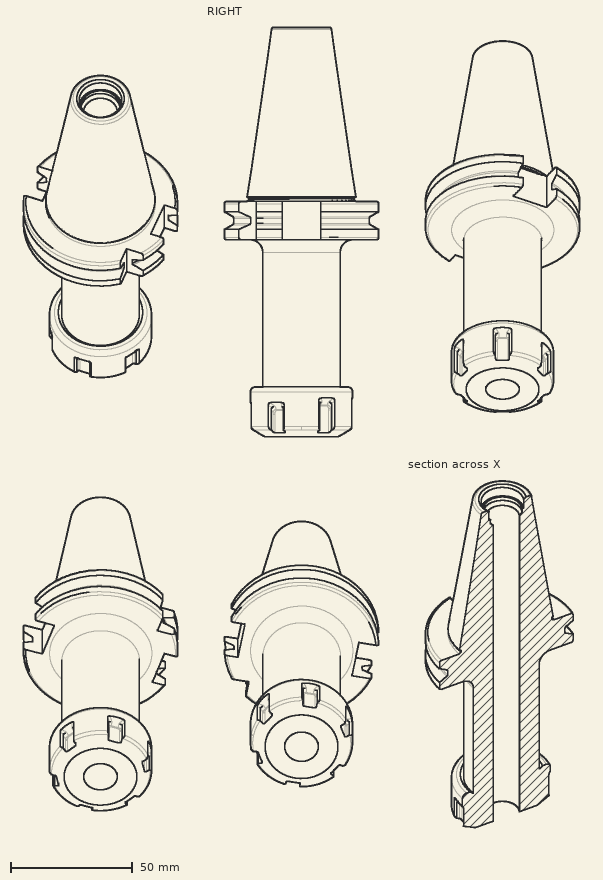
import cadquery as cq
import math

total_length = 168.4
gauge_height = 100.0
flange_top = 96.8
flange_thickness = 15.8
flange_bottom = flange_top - flange_thickness
nut_top = 20.5

taper_per_side = 7 / 48
gauge_radius = 22.2
taper_bottom = 98.7
tip_edge_fillet = 1.0

undercut_radius = 21.7
undercut_top = 98.2
undercut_fillet = 0.8

flange_diameter = 63.5
flange_radius = flange_diameter / 2
flange_edge_fillet = 1.0
groove_radius = 28.0
groove_mid_height = 88.9
groove_floor_width = 2.9
groove_floor_fillet = 0.7
groove_flank_angle = 30.0

drive_slot_width = 15.8
drive_slot_left_x = -22.5
drive_slot_right_x = 25.1
notch_corner = 18.5

tube_radius = 16.0
tube_fillet = 5.0

nut_radius = 21.0
nut_top_fillet = 2.0
nut_bore_chamfer = 1.3
nose_radius = 15.0
nose_height = 3.4
nose_edge_fillet = 1.7

wrench_slot_count = 6
first_wrench_slot_angle = 30.0
wrench_slot_half_width = 2.9
wrench_slot_floor_radius = 18.0
wrench_slot_floor_fillet = 0.7
wrench_slot_ceiling_fillet = 1.3
wrench_slot_mouth_chamfer = 1.0
front_slot_top = 14.3
back_slot_top = 16.2

bore_radius = 6.9
counterbore_radius = 8.8
counterbore_depth = 5.5
thread_radius = 8.0
thread_depth = 7.4
cone_depth = 9.1
mouth_chamfer = 1.0

cutter_clearance = 1.7


def taper_radius(height):
    return gauge_radius - (height - gauge_height) * taper_per_side


def revolve_profile(points):
    return cq.Workplane("XZ").polyline(points).close().revolve(360, (0, 0, 0), (0, 1, 0))


def edges_between(lower, upper):
    """Selector for whole edges lying between two heights, ends included."""
    margin = 0.2
    reach = flange_radius + cutter_clearance
    return cq.selectors.BoxSelector(
        (-reach, -reach, lower - margin),
        (reach, reach, upper + margin),
        boundingbox=True,
    )


def make_taper():
    sagitta = undercut_fillet * (1 - math.sqrt(0.5))
    taper = (
        cq.Workplane("XZ")
        .moveTo(0, flange_top)
        .lineTo(undercut_radius + undercut_fillet, flange_top)
        .threePointArc(
            (undercut_radius + sagitta, flange_top + sagitta),
            (undercut_radius, flange_top + undercut_fillet),
        )
        .lineTo(undercut_radius, undercut_top)
        .lineTo(taper_radius(taper_bottom), taper_bottom)
        .lineTo(taper_radius(total_length), total_length)
        .lineTo(0, total_length)
        .close()
        .revolve(360, (0, 0, 0), (0, 1, 0))
    )
    return taper.faces(">Z").edges().fillet(tip_edge_fillet)


def make_flange():
    flange = cq.Workplane("XY", origin=(0, 0, flange_bottom)).circle(flange_radius).extrude(flange_thickness)
    flange = flange.edges().fillet(flange_edge_fillet)
    floor_half = groove_floor_width / 2
    mouth_half = floor_half + (flange_radius - groove_radius) * math.tan(math.radians(groove_flank_angle))
    groove = revolve_profile([
        (groove_radius, groove_mid_height - floor_half),
        (flange_radius, groove_mid_height - mouth_half),
        (flange_radius, groove_mid_height + mouth_half),
        (groove_radius, groove_mid_height + floor_half),
    ])
    flange = flange.cut(groove)
    floor_edges = edges_between(groove_mid_height - floor_half, groove_mid_height + floor_half)
    return flange.edges("%CIRCLE").edges(floor_edges).fillet(groove_floor_fillet)


def flange_cutter(x_start, x_end, y_start, y_end):
    outline = cq.Workplane("XY", origin=(0, 0, flange_bottom))
    outline = outline.moveTo(x_start, y_start).lineTo(x_end, y_start).lineTo(x_end, y_end)
    return outline.lineTo(x_start, y_end).close().extrude(flange_thickness)


def cut_flange_slots(flange):
    reach = flange_radius + cutter_clearance
    half_width = drive_slot_width / 2
    flange = flange.cut(flange_cutter(-reach, drive_slot_left_x, -half_width, half_width))
    flange = flange.cut(flange_cutter(drive_slot_right_x, reach, -half_width, half_width))
    return flange.cut(flange_cutter(notch_corner, reach, -reach, -notch_corner))


def make_tube():
    fillet_start = flange_bottom - tube_fillet
    fillet_centre_radius = tube_radius + tube_fillet
    tube_bottom = nut_top - nut_bore_chamfer
    diagonal = tube_fillet * math.sqrt(0.5)
    return (
        cq.Workplane("XZ")
        .moveTo(0, tube_bottom)
        .lineTo(tube_radius, tube_bottom)
        .lineTo(tube_radius, fillet_start)
        .threePointArc(
            (fillet_centre_radius - diagonal, fillet_start + diagonal),
            (fillet_centre_radius, flange_bottom),
        )
        .lineTo(0, flange_bottom)
        .close()
        .revolve(360, (0, 0, 0), (0, 1, 0))
    )


def make_nut():
    nut = revolve_profile([
        (0, 0),
        (nose_radius, 0),
        (nut_radius, nose_height),
        (nut_radius, nut_top),
        (0, nut_top),
    ])
    nut = nut.faces(">Z").edges().fillet(nut_top_fillet)
    bore_chamfer = revolve_profile([
        (0, nut_top),
        (tube_radius + nut_bore_chamfer, nut_top),
        (tube_radius, nut_top - nut_bore_chamfer),
        (0, nut_top - nut_bore_chamfer),
    ])
    nut = nut.cut(bore_chamfer)
    nose_edge = edges_between(nose_height, nose_height)
    return nut.edges("%CIRCLE").edges(nose_edge).fillet(nose_edge_fillet)


def wrench_slot_cutter(top):
    """Slot facing +X: flared mouth, rounded floor corners and a 45 degree ceiling."""
    floor = wrench_slot_floor_radius
    half = wrench_slot_half_width
    mouth = math.sqrt(nut_radius**2 - half**2)
    reach = nut_radius + cutter_clearance
    flare_start = mouth - wrench_slot_mouth_chamfer
    flare_half = half + reach - flare_start
    plan = cq.Workplane("XY").polyline([
        (floor, -half),
        (flare_start, -half),
        (reach, -flare_half),
        (reach, flare_half),
        (flare_start, half),
        (floor, half),
    ]).close().extrude(top + reach)
    ceiling = (
        cq.Workplane("XZ")
        .polyline([
            (floor, 0),
            (reach, 0),
            (reach, top + reach - nut_radius),
            (floor, top + floor - nut_radius),
        ])
        .close()
        .extrude(flare_half, both=True)
    )
    slot = plan.intersect(ceiling)
    slot = slot.faces(">Z").edges("not |Y").fillet(wrench_slot_ceiling_fillet)
    return slot.faces("<X").edges("not <Z").fillet(wrench_slot_floor_fillet)


def cut_wrench_slots(nut):
    for index in range(wrench_slot_count):
        angle = first_wrench_slot_angle + index * 360 / wrench_slot_count
        top = back_slot_top if angle < 180 else front_slot_top
        nut = nut.cut(wrench_slot_cutter(top).rotate((0, 0, 0), (0, 0, 1), angle))
    return nut


def make_bore():
    counterbore_floor = total_length - counterbore_depth
    return revolve_profile([
        (0, 0),
        (bore_radius, 0),
        (bore_radius, total_length - cone_depth),
        (thread_radius, total_length - thread_depth),
        (thread_radius, counterbore_floor),
        (counterbore_radius, counterbore_floor),
        (counterbore_radius, total_length - mouth_chamfer),
        (counterbore_radius + mouth_chamfer, total_length),
        (0, total_length),
    ])


flange = cut_flange_slots(make_flange())
nut = cut_wrench_slots(make_nut())
result = make_taper().union(flange).union(make_tube()).union(nut).cut(make_bore())